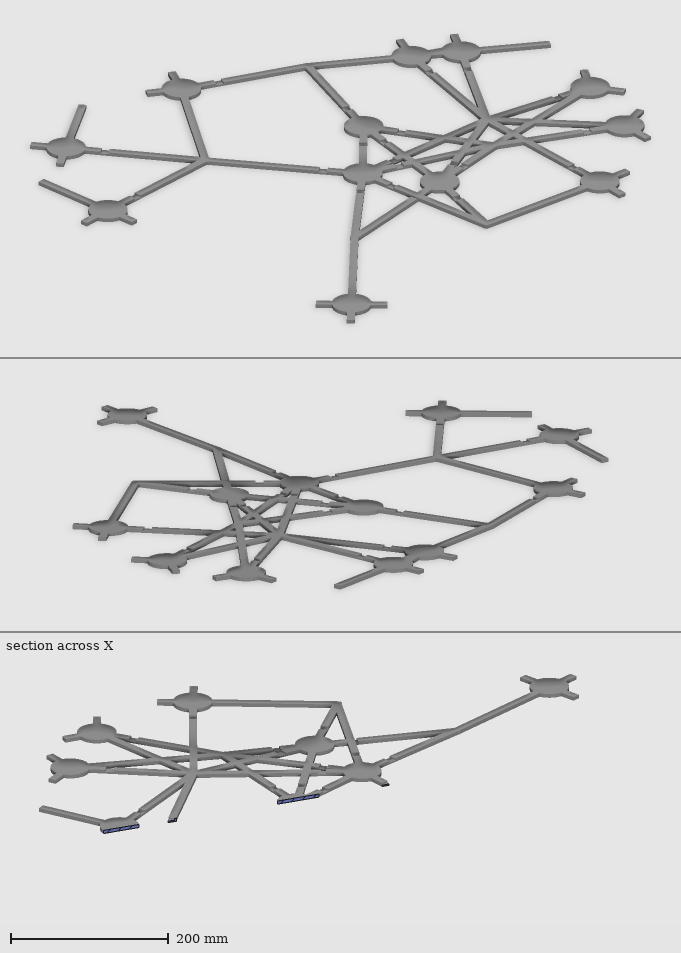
import cadquery as cq
import math

THICKNESS = 5.0
PLATE_RADIUS = 25.0
STRUT_WIDTH = 10.0
STUB_REACH = 45.5
LONG_ARM_REACH = 115.0
STEP_LENGTH = 10.0
STEP_HEIGHT = THICKNESS / 2
JOINT_OVERRUN = 3.0

PLATES = {
    "north_west": (-45.5, 277.0),
    "north": (5.0, 317.0),
    "north_east": (194.0, 308.0),
    "east_upper": (280.5, 236.5),
    "east": (322.0, 88.5),
    "middle": (-12.5, 82.0),
    "middle_lower": (45.0, -30.5),
    "middle_right": (142.0, -5.5),
    "west": (-264.0, 65.0),
    "west_lower": (-321.0, -142.5),
    "south_west": (-197.0, -267.0),
    "south": (193.5, -348.0),
}

JOINTS = {
    "crossing": (118.0, 170.0),
    "inner": (158.0, 113.5),
    "right": (247.0, -79.0),
    "left": (-149.0, -91.0),
    "upper": (-150.5, 193.5),
    "lower": (115.0, -189.0),
}

STEPPED_STRUTS = {
    "crossing": ["north_west", "north", "north_east", "east", "middle_lower", "middle_right"],
    "inner": ["east_upper", "middle", "middle_lower", "middle_right"],
    "right": ["middle_lower", "middle_right"],
    "left": ["middle_lower", "west_lower", "south_west"],
    "upper": ["middle", "west"],
    "lower": ["middle_lower", "middle_right"],
}

PLAIN_STRUTS = {
    "crossing": "east_upper",
    "inner": "north_east",
    "right": "east",
    "left": "west",
    "upper": "north_west",
    "lower": "south",
}

PLATE_STRUTS = [("middle", "middle_lower"), ("middle", "middle_right")]

STUB_ANGLES = {
    "north_west": [48.6, 136.1],
    "north": [128.4, 218.4],
    "north_east": [13.3, 127.2],
    "east_upper": [-22.0, 91.3],
    "east": [-23.8, 66.7],
    "west": [133.1, 220.5],
    "west_lower": [-162.8, -72.8],
    "south_west": [-105.1, -15.1],
    "south": [-154.0, -64.0, 26.0],
}

LONG_ARM_ANGLES = {
    "north": 38.2,
    "west_lower": 106.9,
    "south_west": 164.8,
}


def plate(center):
    return cq.Workplane("XY").center(*center).circle(PLATE_RADIUS).extrude(THICKNESS)


def bar(start, angle, near, far, height):
    """Straight bar along angle (degrees), covering the distances near to far from start."""
    blank = cq.Workplane("XY").rect(far - near, STRUT_WIDTH).extrude(height)
    blank = blank.translate(((near + far) / 2, 0, 0))
    return blank.rotate((0, 0, 0), (0, 0, 1), angle).translate((*start, 0))


def arm(start, angle, length):
    return bar(start, angle, 0, length, THICKNESS)


def direction_and_length(start, end):
    dx = end[0] - start[0]
    dy = end[1] - start[1]
    return math.degrees(math.atan2(dy, dx)), math.hypot(dx, dy)


def plain_strut(start, end, overrun=0):
    """Full-thickness bar from start to end, carried on past end by overrun."""
    angle, length = direction_and_length(start, end)
    return arm(start, angle, length + overrun)


def stepped_strut(start, end, overrun=0):
    """Bar from start to end with a low step between the plate's stub and the rest of the bar."""
    angle, length = direction_and_length(start, end)
    stub = arm(start, angle, STUB_REACH)
    step = bar(start, angle, 0, length, STEP_HEIGHT)
    beam = bar(start, angle, STUB_REACH + STEP_LENGTH, length + overrun, THICKNESS)
    return stub.union(step).union(beam)


members = [plate(center) for center in PLATES.values()]

for joint, plate_names in STEPPED_STRUTS.items():
    for name in plate_names:
        members.append(stepped_strut(PLATES[name], JOINTS[joint], JOINT_OVERRUN))

for joint, name in PLAIN_STRUTS.items():
    members.append(plain_strut(PLATES[name], JOINTS[joint], JOINT_OVERRUN))

for stepped_end, plain_end in PLATE_STRUTS:
    members.append(stepped_strut(PLATES[stepped_end], PLATES[plain_end]))

for name, angles in STUB_ANGLES.items():
    for angle in angles:
        members.append(arm(PLATES[name], angle, STUB_REACH))

for name, angle in LONG_ARM_ANGLES.items():
    members.append(arm(PLATES[name], angle, LONG_ARM_REACH))

member_solids = [member.val() for member in members]
fused = member_solids[0].fuse(*member_solids[1:]).clean()
result = cq.Workplane("XY").newObject(fused.Solids())